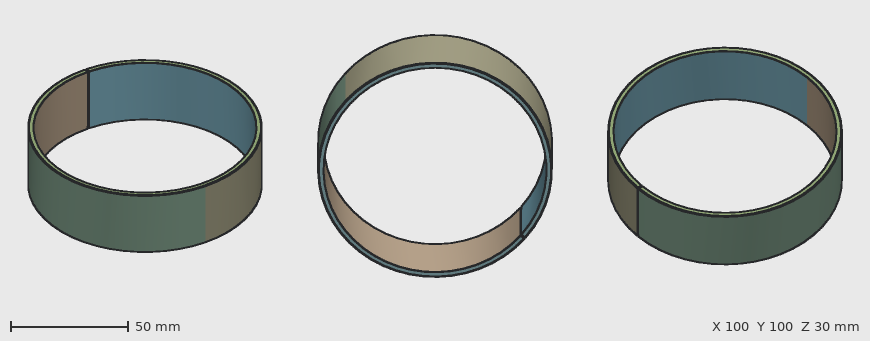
import cadquery as cq

outer_diameter = 100.0
wall = 2.5
height = 30.0
outer_chamfer_height = 0.3
outer_chamfer_depth = 0.5
inner_chamfer = 0.2
slit_width = 0.8

outer_radius = outer_diameter / 2
inner_radius = outer_radius - wall


def sleeve():
    """Revolve the wall section, with chamfered rims, about the Z axis."""
    section = [
        (inner_radius + inner_chamfer, 0),
        (outer_radius - outer_chamfer_depth, 0),
        (outer_radius, outer_chamfer_height),
        (outer_radius, height - outer_chamfer_height),
        (outer_radius - outer_chamfer_depth, height),
        (inner_radius + inner_chamfer, height),
        (inner_radius, height - inner_chamfer),
        (inner_radius, inner_chamfer),
    ]
    return cq.Workplane("XZ").polyline(section).close().revolve(360, (0, 0, 0), (0, 1, 0))


def slit():
    """Full-height cutter through the -X wall, with one face on the XZ plane and the other at +Y."""
    cutter = cq.Workplane("XY").box(outer_radius, slit_width, height, centered=False)
    return cutter.translate((-outer_radius, 0, 0))


result = sleeve().cut(slit())